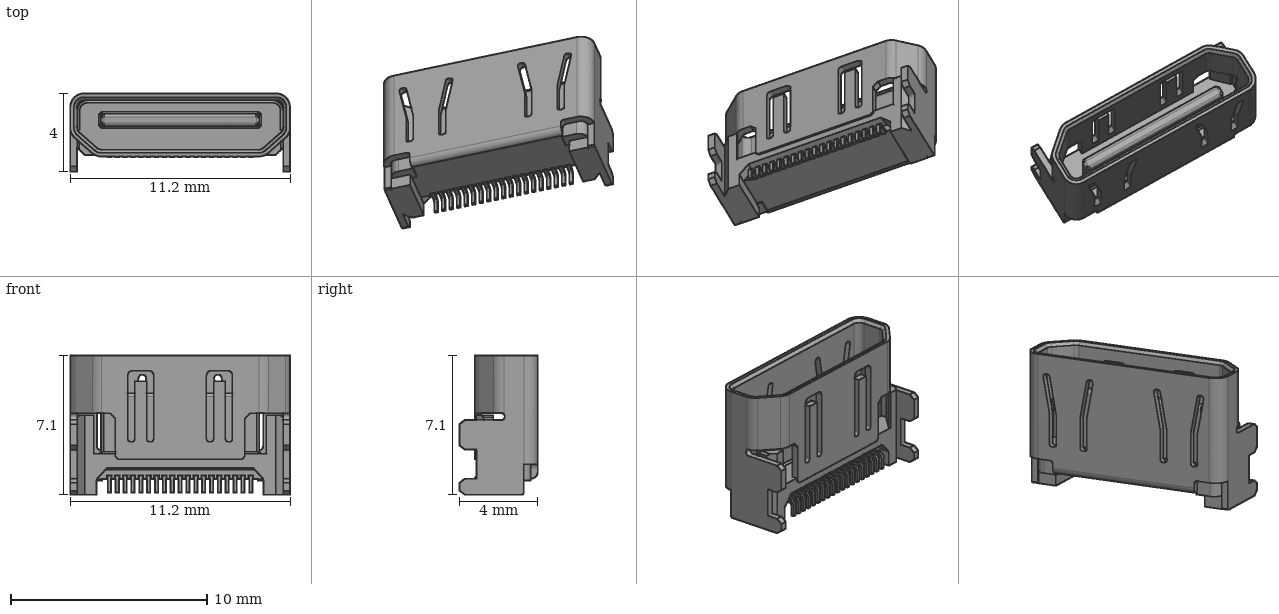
import cadquery as cq
import math


WIDTH = 11.2
DEPTH = 3.23
HEIGHT = 7.1
WALL = 0.36
CORNER_RADIUS = 0.72
SLANT_FRONT_HALF = 4.28
SLANT_SIDE_Y = 1.16
RIM_CHAMFER = 0.17
FRONT_EDGE_Z = 4.15
BACK_EDGE_Z = 1.55

FLAP_HALF = 3.29
FLAP_BOTTOM = 1.8
FLAP_TOP_CHAMFER = 0.28
FLAP_BOTTOM_CHAMFER = 0.15

BACK_FLAP_HALF = 4.03
BACK_FLAP_BOTTOM = 0.82
BACK_FLAP_ROUND = 0.35
BACK_FLAP_FILLET = 0.17

FOOT_FRONT_Y = -0.77
FOOT_TIP_RUN = 0.28
FOOT_TIP_RISE = 0.21
UPPER_FOOT_TOP = 3.81
UPPER_FOOT_BOTTOM = 2.3
LOWER_FOOT_TOP = 0.82
NOTCH_Y = 0.11
NOTCH_FILLET = 0.06
PLATE_CORNER_CHAMFER = 0.07
RELIEF_END_Y = 1.53

FRONT_FINGER_X = 2.0
FRONT_FINGER_WIDTH = 0.6
FRONT_FINGER_TOP = 5.79
FRONT_SLIT_TOP = 6.32
FRONT_SLIT_BOTTOM = 2.69
FRONT_SLIT_WIDTH = 0.36
FRONT_SLIT_RADIUS = 0.25
BACK_FINGER_X = 3.16
BACK_SLIT_WIDTH = 0.38
BACK_SLIT_TOP = 6.1
BACK_SLIT_KINK = 4.03
BACK_SLIT_BOTTOM = 2.28
BACK_SLIT_OUTER_TOP = 1.46
BACK_SLIT_OUTER_LOW = 1.06
SLIT_END_RADIUS = 0.17

HOUSING_FRONT = 0.08
HOUSING_BACK_RADIUS = 0.5
FLOOR_TOP = 2.08
FLOOR_BOTTOM = 0.8
FLOOR_CHAMFER = 0.13
FLOOR_CHAMFER_START_Y = 1.38
LEG_INNER_X = 4.25
LEG_BACK_Y = 2.46
FRONT_CORNER_CHAMFER = 0.38
BACK_PAD_BOTTOM = 0.72
BACK_PAD_INNER_X = 3.96
BACK_PAD_DEPTH = 0.67
POST_INNER_X = 4.39
POST_TOP = 4.05
POST_BACK_Y = 0.96
POST_CHAMFER = 0.11

RECESS_DEPTH = 0.5
RECESS_TOP_FRONT = 1.38
RECESS_TOP_BACK = 1.28
RECESS_TOP_HALF = 3.71

TONGUE_HALF = 4.03
TONGUE_FRONT = 1.56
TONGUE_BACK = 2.18
TONGUE_TOP = 5.17
TONGUE_TIP_RADIUS = 0.16
TONGUE_EDGE_CHAMFER = 0.13
TONGUE_ROOT_CHAMFER = 0.1

PIN_COUNT = 19
PIN_ROW_LENGTH = 7.2
PIN_WIDTH = 0.18
PIN_THICKNESS = 0.15
PIN_FRONT_Y = -0.03
PIN_TOP = 0.96
PIN_BOTTOM = 0.11
PIN_BEND_RADIUS = 0.26
PIN_POCKET_WIDTH = 0.26
PIN_POCKET_TOP = 1.0
PIN_POCKET_DEPTH = 0.11

PICK_MARGIN = 0.06

HALF_WIDTH = WIDTH / 2
INNER_HALF = HALF_WIDTH - WALL
INNER_BACK = DEPTH - WALL
SLANT_SLOPE = SLANT_SIDE_Y / (HALF_WIDTH - SLANT_FRONT_HALF)
RELIEF_RADIUS = (FRONT_EDGE_Z - UPPER_FOOT_TOP) / 2
RELIEF_CENTRE_Y = RELIEF_END_Y - RELIEF_RADIUS
RECESS_BACK = HOUSING_FRONT + RECESS_DEPTH
PIN_PITCH = PIN_ROW_LENGTH / (PIN_COUNT - 1)
SIDES = (-1, 1)


def box(x0, x1, y0, y1, z0, z1):
    """Block between the given limits."""
    return cq.Workplane("XY").box(x1 - x0, y1 - y0, z1 - z0, centered=False).translate((x0, y0, z0))


def plate_xz(points, y0, y1):
    """Outline in X and Z, extruded from y0 to y1."""
    return cq.Workplane("XZ", origin=(0, y0, 0)).polyline(points).close().extrude(y0 - y1)


def plate_yz(points, x0, x1):
    """Outline in Y and Z, extruded from x0 to x1."""
    return cq.Workplane("YZ", origin=(x0, 0, 0)).polyline(points).close().extrude(x1 - x0)


def both_ends(solid):
    """The solid together with its mirror image across the middle of the connector."""
    return solid.union(solid.mirror("YZ"))


def shell_block(inset):
    """Full-height solid with the outline of the shell, moved inwards by the inset."""
    outline = [
        (-HALF_WIDTH, DEPTH),
        (-HALF_WIDTH, SLANT_SIDE_Y),
        (-SLANT_FRONT_HALF, 0),
        (SLANT_FRONT_HALF, 0),
        (HALF_WIDTH, SLANT_SIDE_Y),
        (HALF_WIDTH, DEPTH),
    ]
    sharp = cq.Workplane("XY").polyline(outline).close()
    if inset:
        sharp = sharp.offset2D(-inset)
    return sharp.extrude(HEIGHT).edges("|Z").fillet(CORNER_RADIUS - inset)


def make_tube():
    """Shell wall with its chamfered mouth, cut short at the front and at the back corners."""
    tube = shell_block(0).cut(shell_block(WALL))
    inner_rim = cq.selectors.BoxSelector(
        (-INNER_HALF - PICK_MARGIN, WALL - PICK_MARGIN, HEIGHT - PICK_MARGIN),
        (INNER_HALF + PICK_MARGIN, INNER_BACK + PICK_MARGIN, HEIGHT + PICK_MARGIN),
        boundingbox=True,
    )
    tube = tube.faces(">Z").edges(inner_rim).chamfer(RIM_CHAMFER)
    tube = tube.cut(box(-HALF_WIDTH, HALF_WIDTH, 0, RELIEF_CENTRE_Y, 0, FRONT_EDGE_Z))
    return tube.cut(box(-HALF_WIDTH, HALF_WIDTH, RELIEF_CENTRE_Y, DEPTH, 0, BACK_EDGE_Z))


def front_flap():
    shoulder = FLAP_HALF + FLAP_TOP_CHAMFER
    half = [
        (shoulder, FRONT_EDGE_Z),
        (FLAP_HALF, FRONT_EDGE_Z - FLAP_TOP_CHAMFER),
        (FLAP_HALF, FLAP_BOTTOM + FLAP_BOTTOM_CHAMFER),
        (FLAP_HALF - FLAP_BOTTOM_CHAMFER, FLAP_BOTTOM),
    ]
    return plate_xz(half + [(-x, z) for x, z in reversed(half)], 0, WALL)


def back_flap():
    """Narrow tail of the back wall with a rounded lower edge and filleted upper corners."""
    flap = box(-BACK_FLAP_HALF, BACK_FLAP_HALF, INNER_BACK, DEPTH, BACK_FLAP_BOTTOM, BACK_EDGE_Z)
    flap = flap.edges(">Y and <Z").fillet(BACK_FLAP_ROUND)
    r = BACK_FLAP_FILLET
    x = BACK_FLAP_HALF
    corner = box(x, x + r, INNER_BACK, DEPTH, BACK_EDGE_Z - r, BACK_EDGE_Z)
    round_cut = cq.Workplane("XZ", origin=(x + r, DEPTH, BACK_EDGE_Z - r)).circle(r).extrude(WALL)
    return flap.union(both_ends(corner.cut(round_cut)))


def end_plate():
    """Flat plate at the +X end, with two feet and the rounded slit above the upper foot."""
    back = DEPTH - CORNER_RADIUS
    tip = FOOT_FRONT_Y + FOOT_TIP_RUN
    outline = [
        (back, FRONT_EDGE_Z),
        (back, PLATE_CORNER_CHAMFER),
        (back - PLATE_CORNER_CHAMFER, 0),
        (tip, 0),
        (FOOT_FRONT_Y, FOOT_TIP_RISE),
        (FOOT_FRONT_Y, LOWER_FOOT_TOP - FOOT_TIP_RISE),
        (tip, LOWER_FOOT_TOP),
        (NOTCH_Y, LOWER_FOOT_TOP),
        (NOTCH_Y, UPPER_FOOT_BOTTOM),
        (tip, UPPER_FOOT_BOTTOM),
        (FOOT_FRONT_Y, UPPER_FOOT_BOTTOM + FOOT_TIP_RISE),
        (FOOT_FRONT_Y, UPPER_FOOT_TOP - FOOT_TIP_RISE),
        (tip, UPPER_FOOT_TOP),
        (RELIEF_CENTRE_Y, UPPER_FOOT_TOP),
        (RELIEF_CENTRE_Y, FRONT_EDGE_Z),
    ]
    plate = plate_yz(outline, INNER_HALF, HALF_WIDTH)
    notch_corners = cq.selectors.BoxSelector(
        (INNER_HALF, NOTCH_Y - PICK_MARGIN, LOWER_FOOT_TOP - PICK_MARGIN),
        (HALF_WIDTH, NOTCH_Y + PICK_MARGIN, UPPER_FOOT_BOTTOM + PICK_MARGIN),
    )
    return plate.edges("|X").edges(notch_corners).fillet(NOTCH_FILLET)


def relief_slit_end():
    """Rounded end of the slit above the upper foot, through both end walls."""
    middle = (RELIEF_CENTRE_Y, UPPER_FOOT_TOP + RELIEF_RADIUS)
    return cq.Workplane("YZ", origin=(-HALF_WIDTH, 0, 0)).center(*middle).circle(RELIEF_RADIUS).extrude(WIDTH)


def front_finger_slit(side):
    """U-shaped slit that frees one spring finger in the front wall."""
    half = FRONT_FINGER_WIDTH / 2
    outer = half + FRONT_SLIT_WIDTH
    slit = box(-outer, outer, 0, WALL, FRONT_SLIT_BOTTOM, FRONT_SLIT_TOP)
    slit = slit.edges("|Y and >Z").fillet(FRONT_SLIT_RADIUS)
    slit = slit.cut(box(-half, half, 0, WALL, FRONT_SLIT_BOTTOM, FRONT_FINGER_TOP))
    slit = slit.edges("|Y and <Z").fillet(SLIT_END_RADIUS)
    return slit.translate((side * FRONT_FINGER_X, 0, 0))


def back_finger_slits(side):
    """Pair of slits beside one back finger, spreading apart above a kink."""
    top = BACK_SLIT_OUTER_TOP
    low = BACK_SLIT_OUTER_LOW
    slit = plate_xz(
        [
            (top, BACK_SLIT_TOP),
            (low, BACK_SLIT_KINK),
            (low, BACK_SLIT_BOTTOM),
            (low - BACK_SLIT_WIDTH, BACK_SLIT_BOTTOM),
            (low - BACK_SLIT_WIDTH, BACK_SLIT_KINK),
            (top - BACK_SLIT_WIDTH, BACK_SLIT_TOP),
        ],
        INNER_BACK,
        DEPTH,
    )
    slit = slit.edges("|Y").edges("<Z or >Z").fillet(SLIT_END_RADIUS)
    return both_ends(slit).translate((side * BACK_FINGER_X, 0, 0))


def make_shell():
    shell = make_tube().union(front_flap()).union(back_flap()).union(both_ends(end_plate()))
    shell = shell.cut(relief_slit_end())
    for side in SIDES:
        shell = shell.cut(front_finger_slit(side)).cut(back_finger_slits(side))
    return shell


def corner_post():
    """Post at the +X end that fills the space below the slanted side of the shell."""
    post = cq.Workplane("XY").polyline(
        [
            (INNER_HALF - POST_CHAMFER, POST_BACK_Y),
            (INNER_HALF, POST_BACK_Y),
            (INNER_HALF, HOUSING_FRONT),
            (POST_INNER_X, HOUSING_FRONT),
            (POST_INNER_X, POST_BACK_Y - (INNER_HALF - POST_INNER_X) * SLANT_SLOPE),
        ]
    ).close().extrude(POST_TOP)
    return post.edges(">X and >Z").chamfer(POST_CHAMFER)


def pin_recess():
    """Wide recess under the front edge of the housing, with a sloping roof."""
    front_shape = plate_xz(
        [
            (-LEG_INNER_X, FLOOR_BOTTOM),
            (-RECESS_TOP_HALF, RECESS_TOP_FRONT),
            (RECESS_TOP_HALF, RECESS_TOP_FRONT),
            (LEG_INNER_X, FLOOR_BOTTOM),
        ],
        HOUSING_FRONT,
        RECESS_BACK,
    )
    section = plate_yz(
        [
            (HOUSING_FRONT, FLOOR_BOTTOM),
            (HOUSING_FRONT, RECESS_TOP_FRONT),
            (RECESS_BACK, RECESS_TOP_BACK),
            (RECESS_BACK, FLOOR_BOTTOM),
        ],
        -LEG_INNER_X,
        LEG_INNER_X,
    )
    return front_shape.intersect(section)


def tongue_layer(margin, height, lean):
    """Block with the outline of the tongue, widened by the margin, standing on the floor."""
    outline = (
        cq.Sketch()
        .rect(2 * (TONGUE_HALF + margin), TONGUE_BACK - TONGUE_FRONT + 2 * margin)
        .vertices()
        .chamfer(TONGUE_EDGE_CHAMFER)
    )
    middle = (TONGUE_FRONT + TONGUE_BACK) / 2
    return cq.Workplane("XY", origin=(0, middle, FLOOR_TOP)).placeSketch(outline).extrude(height, taper=lean)


def make_tongue():
    """Tongue with a rounded tip and a 45 degree flare at its root."""
    blade = tongue_layer(0, TONGUE_TOP - FLOOR_TOP, 0).faces(">Z").edges().fillet(TONGUE_TIP_RADIUS)
    return blade.union(tongue_layer(TONGUE_ROOT_CHAMFER, TONGUE_ROOT_CHAMFER, 45))


def make_housing():
    floor = box(-INNER_HALF, INNER_HALF, HOUSING_FRONT, INNER_BACK, FLOOR_BOTTOM, FLOOR_TOP)
    pad = box(
        BACK_PAD_INNER_X, INNER_HALF, INNER_BACK - BACK_PAD_DEPTH, INNER_BACK, BACK_PAD_BOTTOM, FLOOR_BOTTOM
    )
    leg = box(LEG_INNER_X, INNER_HALF, HOUSING_FRONT, LEG_BACK_Y, 0, FLOOR_BOTTOM)
    rounded = box(-INNER_HALF, INNER_HALF, HOUSING_FRONT, INNER_BACK, 0, HEIGHT)
    rounded = rounded.edges("|Z and >Y").fillet(HOUSING_BACK_RADIUS)
    rounded = rounded.edges("|Z and <Y").chamfer(FRONT_CORNER_CHAMFER)
    floor = floor.intersect(rounded)
    front_part = box(-INNER_HALF, INNER_HALF, HOUSING_FRONT, FLOOR_CHAMFER_START_Y, FLOOR_BOTTOM, FLOOR_TOP)
    back_part = floor.cut(front_part).faces(">Z").edges(">Y or >X or <X").chamfer(FLOOR_CHAMFER)
    floor = floor.intersect(front_part).union(back_part)
    body = both_ends(corner_post().union(leg).union(pad)).intersect(rounded)
    return floor.union(body).cut(pin_recess()).union(make_tongue())


def make_pin(x):
    """One pin: out of the recess, round a bend and straight down."""
    r_out = PIN_BEND_RADIUS
    r_in = r_out - PIN_THICKNESS
    y_bend = PIN_FRONT_Y + r_out
    z_bend = PIN_TOP - r_out
    diagonal = math.sqrt(0.5)
    return (
        cq.Workplane("YZ", origin=(x - PIN_WIDTH / 2, 0, 0))
        .moveTo(RECESS_BACK + PIN_POCKET_DEPTH, PIN_TOP)
        .lineTo(y_bend, PIN_TOP)
        .threePointArc((y_bend - r_out * diagonal, z_bend + r_out * diagonal), (PIN_FRONT_Y, z_bend))
        .lineTo(PIN_FRONT_Y, PIN_BOTTOM)
        .lineTo(PIN_FRONT_Y + PIN_THICKNESS, PIN_BOTTOM)
        .lineTo(PIN_FRONT_Y + PIN_THICKNESS, z_bend)
        .threePointArc((y_bend - r_in * diagonal, z_bend + r_in * diagonal), (y_bend, z_bend + r_in))
        .lineTo(RECESS_BACK + PIN_POCKET_DEPTH, z_bend + r_in)
        .close()
        .extrude(PIN_WIDTH)
    )


def pin_pocket(x):
    """Small pocket in the housing around the root of one pin."""
    half = PIN_POCKET_WIDTH / 2
    return box(x - half, x + half, RECESS_BACK, RECESS_BACK + PIN_POCKET_DEPTH, FLOOR_BOTTOM, PIN_POCKET_TOP)


result = make_housing().union(make_shell())
for index in range(PIN_COUNT):
    pin_x = index * PIN_PITCH - PIN_ROW_LENGTH / 2
    result = result.cut(pin_pocket(pin_x)).union(make_pin(pin_x))